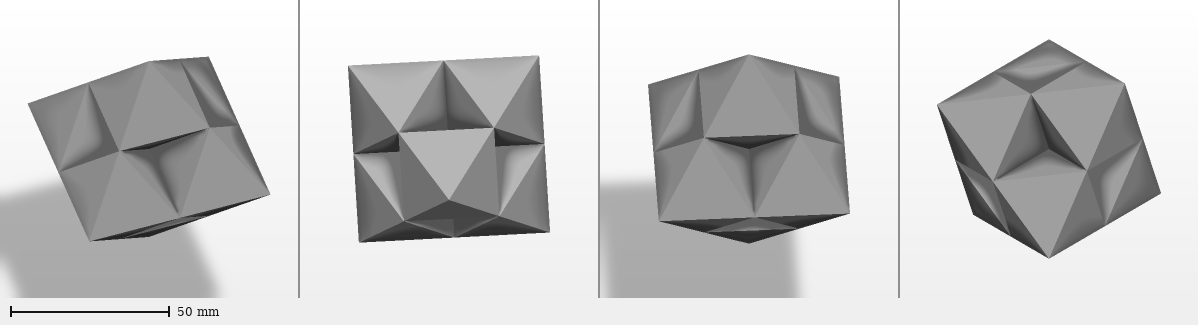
import cadquery as cq

OVERALL_SIZE = 85.3
TIP_REACH = OVERALL_SIZE / 4
CENTRE_OFFSET = OVERALL_SIZE / 2 - TIP_REACH

AXIS_DIRECTIONS = [
    cq.Vector(1, 0, 0),
    cq.Vector(-1, 0, 0),
    cq.Vector(0, 1, 0),
    cq.Vector(0, -1, 0),
    cq.Vector(0, 0, 1),
    cq.Vector(0, 0, -1),
]


def triangle(corners):
    """Flat triangular face through three corners."""
    return cq.Face.makeFromWires(cq.Wire.makePolygon(corners, close=True))


def octahedron(centre):
    """Regular octahedron with its tips on the axis directions from its centre."""
    tips = [centre + direction * TIP_REACH for direction in AXIS_DIRECTIONS]
    faces = [
        triangle([x_tip, y_tip, z_tip])
        for x_tip in tips[0:2]
        for y_tip in tips[2:4]
        for z_tip in tips[4:6]
    ]
    return cq.Solid.makeSolid(cq.Shell.makeShell(faces))


octahedra = [octahedron(direction * CENTRE_OFFSET) for direction in AXIS_DIRECTIONS]

result = cq.Compound.makeCompound(octahedra)